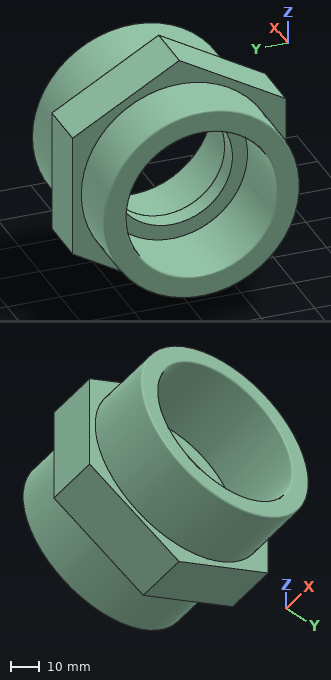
import cadquery as cq

HEX_HEIGHT = 92.4
HEX_FLATS = 80.2
HEX_LENGTH = 20.0

TOTAL_LENGTH = 68.0
LEFT_LENGTH = 22.0
LEFT_DIAMETER = 73.6
RIGHT_LENGTH = TOTAL_LENGTH - LEFT_LENGTH - HEX_LENGTH
RIGHT_DIAMETER = 75.2

PASSAGE_DIAMETER = 45.4
LEFT_SOCKET_DIAMETER = 56.6
LEFT_SOCKET_DEPTH = 29.0
RIGHT_SOCKET_DIAMETER = 60.1
RIGHT_SOCKET_DEPTH = 31.4

EDGE_RADIUS = 0.7


def cylinder(diameter, start, length):
    """Solid cylinder along +X, beginning at X = start."""
    return cq.Workplane("YZ", origin=(start, 0, 0)).circle(diameter / 2).extrude(length)


def hex_collar():
    """Hexagonal prism with its tips up and down and its flats facing +Y and -Y."""
    half_flats = HEX_FLATS / 2
    tip = HEX_HEIGHT / 2
    shoulder = tip / 2
    corners = [
        (0, tip),
        (half_flats, shoulder),
        (half_flats, -shoulder),
        (0, -tip),
        (-half_flats, -shoulder),
        (-half_flats, shoulder),
    ]
    return cq.Workplane("YZ", origin=(LEFT_LENGTH, 0, 0)).polyline(corners).close().extrude(HEX_LENGTH)


left_sleeve = cylinder(LEFT_DIAMETER, 0, LEFT_LENGTH)
right_sleeve = cylinder(RIGHT_DIAMETER, TOTAL_LENGTH - RIGHT_LENGTH, RIGHT_LENGTH)
body = left_sleeve.union(hex_collar()).union(right_sleeve)

passage = cylinder(PASSAGE_DIAMETER, 0, TOTAL_LENGTH)
left_socket = cylinder(LEFT_SOCKET_DIAMETER, 0, LEFT_SOCKET_DEPTH)
right_socket = cylinder(RIGHT_SOCKET_DIAMETER, TOTAL_LENGTH - RIGHT_SOCKET_DEPTH, RIGHT_SOCKET_DEPTH)
body = body.cut(passage).cut(left_socket).cut(right_socket)

result = body.faces("<X or >X").edges().fillet(EDGE_RADIUS)